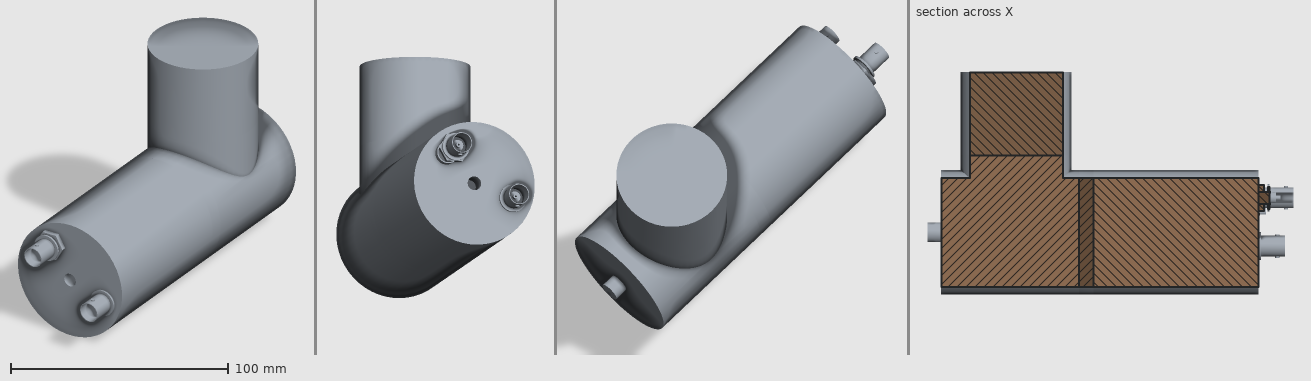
import cadquery as cq
import math


barrel_radius = 28.64
barrel_back_y = 34.45
barrel_length = 146.0
barrel_front_y = barrel_back_y - barrel_length
tee_length = 63.3
ring_width = 6.8
ring_back_y = barrel_back_y - tee_length
ring_front_y = ring_back_y - ring_width
connector_housing_length = ring_front_y - barrel_front_y

head_radius = 25.5
head_top_z = 73.66
head_height = 38.0
neck_top_z = head_top_z - head_height

stub_radius = 4.5
stub_length = 6.35

centre_hole_radius = 3.2
centre_hole_depth = 10.0

jack_shell_radius = 4.75
jack_shell_length = 11.07
jack_bore_radius = 4.4
flange_radius = 6.35
flange_thickness = 1.0
lug_radius = 0.95
lug_span = 10.8
lug_setback = 3.5
insulator_radius = 2.6
insulator_length = 3.0
contact_radius = 1.1
contact_length = 5.0
contact_hole_radius = 0.45
neck_radius = 4.7

raised_jack_x = -9.9
raised_jack_z = 15.9
raised_jack_standoff = 4.0
low_jack_x = 18.2
low_jack_z = -6.3

nut_across_flats = 12.6
nut_thickness = 2.4

collar_x = -13.4
collar_z = 13.3
collar_radius = 5.1
collar_bore_radius = 4.6
collar_length = 3.5


def rod(radius, start_y, length, x=0.0, z=0.0):
    """Cylinder along Y that grows from start_y toward -Y."""
    plane = cq.Plane(origin=(x, start_y, z), xDir=(0, 0, 1), normal=(0, -1, 0))
    return cq.Workplane(plane).circle(radius).extrude(length)


def post(radius, start_z, height, x=0.0, y=0.0):
    """Cylinder along Z that grows upward from start_z."""
    plane = cq.Plane(origin=(x, y, start_z), xDir=(-1, 0, 0), normal=(0, 0, 1))
    return cq.Workplane(plane).circle(radius).extrude(height)


def make_tee_housing():
    neck = post(head_radius, 0.0, neck_top_z)
    return rod(barrel_radius, barrel_back_y, tee_length).union(neck)


def make_connector_housing():
    body = rod(barrel_radius, ring_front_y, connector_housing_length)
    hole = rod(centre_hole_radius, barrel_front_y + centre_hole_depth, centre_hole_depth)
    return body.cut(hole)


def make_jack(x, z, standoff):
    flange_y = barrel_front_y - standoff
    shell_y = flange_y - flange_thickness
    tip_y = shell_y - jack_shell_length
    lug_y = tip_y + lug_setback

    lugs = post(lug_radius, z - lug_span / 2, lug_span, x, lug_y)
    jack = rod(jack_shell_radius, shell_y, jack_shell_length, x, z).union(lugs)
    jack = jack.cut(rod(jack_bore_radius, shell_y, jack_shell_length, x, z))
    jack = jack.union(rod(flange_radius, flange_y, flange_thickness, x, z))
    jack = jack.union(rod(insulator_radius, shell_y, insulator_length, x, z))
    jack = jack.union(rod(contact_radius, shell_y, contact_length, x, z))
    jack = jack.cut(rod(contact_hole_radius, shell_y, contact_length, x, z))
    if standoff > 0:
        jack = jack.union(rod(neck_radius, barrel_front_y, standoff, x, z))
    return jack


def nut_blank():
    """Unbored hexagon with two flats level and two corners pointing along X."""
    plane = cq.Plane(
        origin=(raised_jack_x, barrel_front_y, raised_jack_z), xDir=(1, 0, 0), normal=(0, -1, 0)
    )
    across_corners = nut_across_flats / math.cos(math.pi / 6)
    return cq.Workplane(plane).polygon(6, across_corners).extrude(nut_thickness)


def make_nut():
    bore = rod(neck_radius, barrel_front_y, nut_thickness, raised_jack_x, raised_jack_z)
    return nut_blank().cut(bore)


def make_collar():
    collar = rod(collar_radius, barrel_front_y, collar_length, collar_x, collar_z)
    jack_clearance = rod(neck_radius, barrel_front_y, collar_length, raised_jack_x, raised_jack_z)
    collar = collar.cut(rod(collar_bore_radius, barrel_front_y, collar_length, collar_x, collar_z))
    return collar.cut(nut_blank()).cut(jack_clearance)


tee_housing = make_tee_housing()
head = post(head_radius, neck_top_z, head_height)
joint_ring = rod(barrel_radius, ring_back_y, ring_width)
connector_housing = make_connector_housing()
stub = rod(stub_radius, barrel_back_y + stub_length, stub_length)
raised_jack = make_jack(raised_jack_x, raised_jack_z, raised_jack_standoff)
low_jack = make_jack(low_jack_x, low_jack_z, 0.0)
nut = make_nut()
collar = make_collar()

result = cq.Compound.makeCompound(
    [
        tee_housing.val(),
        head.val(),
        joint_ring.val(),
        connector_housing.val(),
        stub.val(),
        raised_jack.val(),
        low_jack.val(),
        nut.val(),
        collar.val(),
    ]
)